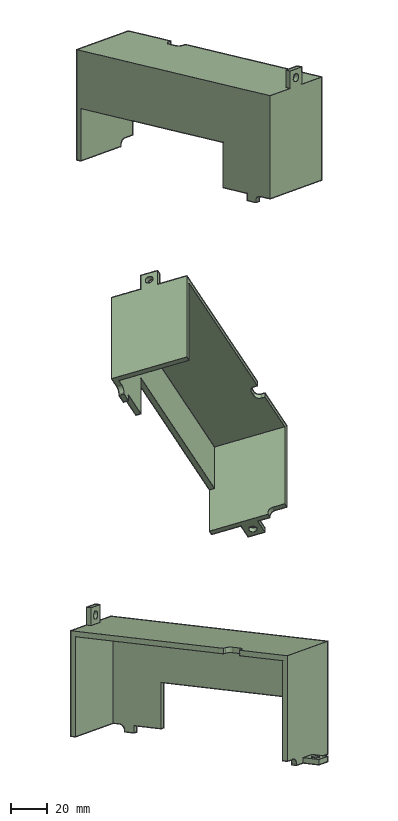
import cadquery as cq

total_length = 146.0
depth = 45.0
total_height = 73.0

wall = 3.0
lug_reach = 10.0
lug_width = 10.1
lug_hole_diameter = 4.5

opening_height = 30.0
right_leg_width = 33.1
foot_offset = 16.2

notch_width = 10.1
notch_radius = 3.0
foot_height = 4.1
top_notch_start = 30.0
top_notch_depth = 5.1

cover_left = lug_reach
cover_length = total_length - lug_reach
cover_height = total_height - lug_reach
middle_y = depth / 2


def box(x, y, z, length, width, height):
    """Box given by its lowest corner and its sizes."""
    return cq.Workplane("XY").box(length, width, height, centered=False).translate((x, y, z))


def make_shell():
    """Cover with a top, a front and two end walls, open at the back and the bottom."""
    outside = box(cover_left, 0, 0, cover_length, depth, cover_height)
    inside = box(cover_left + wall, wall, 0, cover_length - 2 * wall, depth - wall, cover_height - wall)
    return outside.cut(inside)


def make_front_opening():
    """Opening in the front wall, leaving the right leg with a narrow foot."""
    start = cover_left + wall
    leg_left = total_length - right_leg_width
    foot_left = total_length - foot_offset
    opening = box(start, 0, 0, leg_left - start, wall, opening_height)
    foot_step = box(leg_left, 0, 0, foot_left - leg_left, wall, foot_height)
    return opening.union(foot_step)


def make_right_notch():
    """Clearance below the right end wall, rounded beside the foot."""
    notch = box(total_length - notch_width, 0, 0, notch_width, depth, foot_height)
    return notch.edges("|Y and <X and >Z").fillet(notch_radius)


def make_left_notch():
    """Rounded notch in the lower back corner of the left end wall."""
    notch = box(cover_left, depth - notch_width, 0, wall, notch_width, foot_height)
    return notch.edges("|X and <Y and >Z").fillet(notch_radius)


def make_top_notch():
    """Round-cornered notch in the back edge of the top."""
    notch = box(
        cover_left + top_notch_start, depth - top_notch_depth, cover_height - wall,
        notch_width, top_notch_depth, wall,
    )
    return notch.edges("|Z and <Y").fillet(notch_radius)


def make_left_lug():
    """Flat lug at the foot of the left end wall, with a vertical hole."""
    lug = box(0, middle_y - lug_width / 2, 0, lug_reach, lug_width, wall)
    hole = cq.Workplane("XY").center(lug_reach / 2, middle_y).circle(lug_hole_diameter / 2).extrude(wall)
    return lug.cut(hole)


def make_right_lug():
    """Upright lug continuing the right end wall, with a hole along X."""
    lug_left = total_length - wall
    lug = box(lug_left, middle_y - lug_width / 2, cover_height, wall, lug_width, lug_reach)
    hole = (
        cq.Workplane("YZ", origin=(lug_left, middle_y, cover_height + lug_reach / 2))
        .circle(lug_hole_diameter / 2)
        .extrude(wall)
    )
    return lug.cut(hole)


cover = make_shell()
for opening in (make_front_opening(), make_right_notch(), make_left_notch(), make_top_notch()):
    cover = cover.cut(opening)

result = cover.union(make_left_lug()).union(make_right_lug())